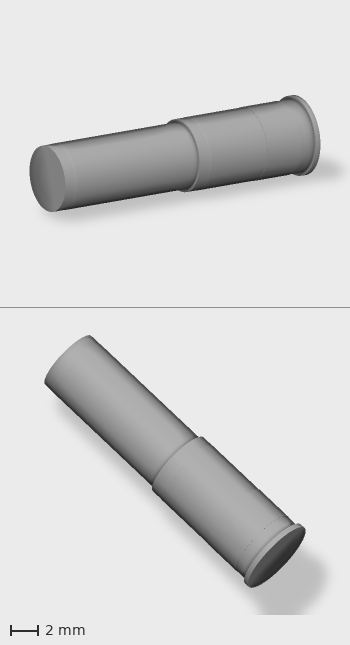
import cadquery as cq

total_length = 22.0
flange_diameter = 6.0
flange_thickness = 0.4
neck_diameter = 5.5
sleeve_diameter = 5.55
body_diameter = 5.5
rod_diameter = 5.0

neck_end = 1.5
sleeve_end = 4.5
body_end = 10.4

land_length = 0.9
cone_length = 0.1
land_reduction = 0.03

head_face_y = total_length / 2


def stepped_shaft(diameter, start, end):
    """Outline points (radius, y) of a shaft: full diameter, short cone, slimmer end land."""
    radius = diameter / 2
    land_radius = (diameter - land_reduction) / 2
    land_start = end - land_length
    return [
        (radius, head_face_y - start),
        (radius, head_face_y - (land_start - cone_length)),
        (land_radius, head_face_y - land_start),
        (land_radius, head_face_y - end),
    ]


def plain_band(diameter, start, end):
    """Outline points (radius, y) of a straight cylindrical band."""
    radius = diameter / 2
    return [(radius, head_face_y - start), (radius, head_face_y - end)]


outline = [(0, head_face_y)]
outline += plain_band(flange_diameter, 0, flange_thickness)
outline += plain_band(neck_diameter, flange_thickness, neck_end)
outline += plain_band(sleeve_diameter, neck_end, sleeve_end)
outline += stepped_shaft(body_diameter, sleeve_end, body_end)
outline += stepped_shaft(rod_diameter, body_end, total_length)
outline += [(0, head_face_y - total_length)]

result = cq.Workplane("XY").polyline(outline).close().revolve(360, (0, 0, 0), (0, 1, 0))